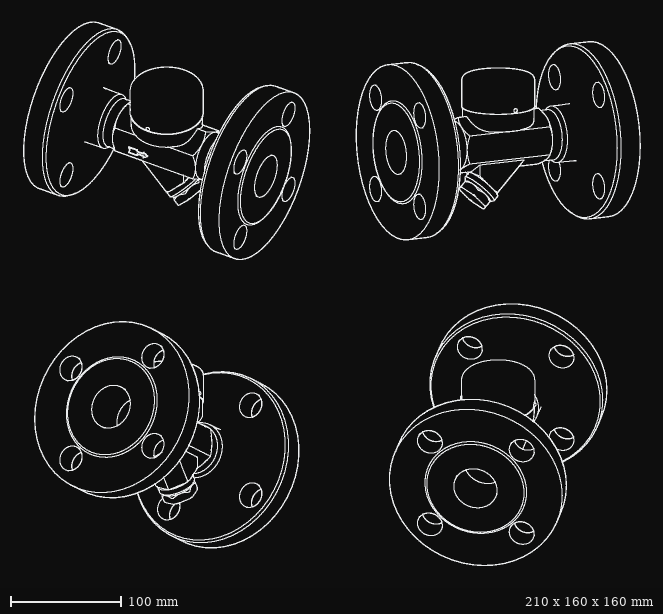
import cadquery as cq
import math

overall_length = 210.0
flange_diameter = 160.0
raised_face_height = 1.6
raised_face_diameter = 90.0
raised_face_base_diameter = 94.0
flange_back_x = 80.6
flange_chamfer_length = 3.0
flange_chamfer_angle = 30.0
bolt_circle_diameter = 120.0
bolt_hole_diameter = 23.0
bolt_hole_count = 4
first_bolt_angle = 45.0
bore_diameter = 40.0

neck_root_fillet = 3.8
neck_root_radius = 26.1
neck_tip_radius = 25.8
neck_tip_x = 57.5
pipe_radius = 46.0 / 2
pipe_start_x = 53.6
pipe_end_x = 48.8
body_end_radius = 22.4

body_across_flats = 45.0
body_half_length = 44.0
body_chamfer_length = 2.8

cover_diameter = 66.5
cover_seat_diameter = 65.0
cover_top_z = 61.5
cover_edge_fillet = 5.5
cover_bottom_z = 31.7
seat_curve_top_z = 19.9
seat_bottom_z = 13.4
seat_bottom_radius = 17.0
nub_radius = 1.75
nub_z = 34.5

branch_angle = 45.0
branch_axis_x = -23.7
branch_half_width = 16.5
keel_depth = 17.0
branch_length = 55.3
saddle_x = 27.7

plug_collar_diameter = 34.0
plug_waist_diameter = 29.0
plug_waist_position = 63.1
plug_end_position = 71.3
plug_across_flats = 29.0
plug_corner_fillet = 2.5
plug_end_chamfer = 0.9

arrow_height = 1.0
arrow_tail_x = -26.5
arrow_notch = 1.4
arrow_step_x = -17.2
arrow_head_x = -10.7
arrow_tip_x = -6.4
arrow_z = -5.5
arrow_half_width = 3.0
arrow_shaft_half_width = 1.3

half_length = overall_length / 2
flange_face_x = half_length - raised_face_height
flange_radius = flange_diameter / 2
neck_root_x = flange_back_x - neck_root_fillet
body_across_corners = body_across_flats / math.cos(math.pi / 6)
body_half_flat = body_across_flats / 2


def make_flange():
    """Flange with raised face and weld neck at the +X end, tapering onto the body."""
    chamfer_depth = flange_chamfer_length * math.tan(math.radians(flange_chamfer_angle))
    root_center_radius = neck_root_radius + neck_root_fillet
    root_reach = neck_root_fillet * math.sqrt(0.5)
    profile = (
        cq.Workplane("XY")
        .moveTo(0, 0)
        .lineTo(half_length, 0)
        .lineTo(half_length, raised_face_diameter / 2)
        .lineTo(flange_face_x, raised_face_base_diameter / 2)
        .lineTo(flange_face_x, flange_radius)
        .lineTo(flange_back_x + flange_chamfer_length, flange_radius)
        .lineTo(flange_back_x, flange_radius - chamfer_depth)
        .lineTo(flange_back_x, root_center_radius)
        .threePointArc(
            (neck_root_x + root_reach, root_center_radius - root_reach),
            (neck_root_x, neck_root_radius),
        )
        .lineTo(neck_tip_x, neck_tip_radius)
        .lineTo(pipe_start_x, pipe_radius)
        .lineTo(pipe_end_x, pipe_radius)
        .lineTo(body_half_length, body_end_radius)
        .lineTo(0, body_end_radius)
        .close()
    )
    flange = profile.revolve(360, (0, 0, 0), (1, 0, 0))
    bolt_holes = (
        cq.Workplane("YZ", origin=(flange_back_x, 0, 0))
        .polarArray(bolt_circle_diameter / 2, first_bolt_angle, 360, bolt_hole_count)
        .circle(bolt_hole_diameter / 2)
        .extrude(half_length - flange_back_x)
    )
    return flange.cut(bolt_holes)


def make_bore():
    """Bore of the +X flange, ending where the weld neck ends."""
    return (
        cq.Workplane("YZ", origin=(neck_tip_x, 0, 0))
        .circle(bore_diameter / 2)
        .extrude(half_length - neck_tip_x)
    )


def make_body():
    """Hexagonal bar with corners up and down, turned to a cone at both ends."""
    hexagon = (
        cq.Workplane("YZ", origin=(-body_half_length, 0, 0))
        .transformed(rotate=(0, 0, 90))
        .polygon(6, body_across_corners)
        .extrude(2 * body_half_length)
    )
    corner_radius = body_across_corners / 2
    cone_start_x = body_half_length - body_chamfer_length
    turned_envelope = (
        cq.Workplane("XY")
        .moveTo(-body_half_length, 0)
        .lineTo(-body_half_length, body_end_radius)
        .lineTo(-cone_start_x, corner_radius)
        .lineTo(cone_start_x, corner_radius)
        .lineTo(body_half_length, body_end_radius)
        .lineTo(body_half_length, 0)
        .close()
        .revolve(360, (0, 0, 0), (1, 0, 0))
    )
    return hexagon.intersect(turned_envelope)


def make_cover():
    """Round cover with its bowl-shaped seat and two small round nubs on its -Y and +Y sides."""
    cover_radius = cover_diameter / 2
    seat_radius = cover_seat_diameter / 2
    fillet_center_x = cover_radius - cover_edge_fillet
    fillet_center_z = cover_top_z - cover_edge_fillet
    fillet_reach = cover_edge_fillet * math.sqrt(0.5)
    cover = (
        cq.Workplane("XZ")
        .moveTo(0, 0)
        .lineTo(0, cover_top_z)
        .lineTo(fillet_center_x, cover_top_z)
        .threePointArc(
            (fillet_center_x + fillet_reach, fillet_center_z + fillet_reach),
            (cover_radius, fillet_center_z),
        )
        .lineTo(cover_radius, cover_bottom_z)
        .lineTo(seat_radius, cover_bottom_z)
        .lineTo(seat_radius, seat_curve_top_z)
        .spline(
            [(seat_bottom_radius, seat_bottom_z)],
            tangents=[(0, -1), (-1, 0)],
            includeCurrent=True,
        )
        .lineTo(seat_bottom_radius, 0)
        .close()
        .revolve(360, (0, 0, 0), (0, 1, 0))
    )
    for side in (-1, 1):
        nub = cq.Workplane("XY").sphere(nub_radius)
        cover = cover.union(nub.translate((0, side * cover_radius, nub_z)))
    return cover


def branch_plane():
    """Plane square to the branch axis: local x is Y, local y points away from the keel."""
    slope = math.radians(branch_angle)
    return cq.Plane(
        origin=(branch_axis_x, 0, 0),
        xDir=(0, 1, 0),
        normal=(math.cos(slope), 0, -math.sin(slope)),
    )


def turned_on_branch(outline):
    """Solid turned about the branch axis from (radius, position) points."""
    plane = branch_plane()
    half_section = cq.Plane(origin=plane.origin, xDir=plane.xDir, normal=-plane.yDir)
    return (
        cq.Workplane(half_section)
        .polyline(outline)
        .close()
        .revolve(360, (0, 0, 0), (0, 1, 0))
    )


def make_branch():
    """Keeled strainer branch with a saddle that fills the space up to the body."""
    shoulder_depth = keel_depth - branch_half_width * math.tan(math.pi / 6)
    keel = (
        cq.Workplane(branch_plane())
        .polyline([
            (-branch_half_width, 0),
            (-branch_half_width, -shoulder_depth),
            (0, -keel_depth),
            (branch_half_width, -shoulder_depth),
            (branch_half_width, 0),
        ])
        .close()
        .extrude(branch_length)
    )
    collar_radius = plug_collar_diameter / 2
    trim_envelope = turned_on_branch([
        (0, 0),
        (collar_radius + branch_length, 0),
        (collar_radius, branch_length),
        (0, branch_length),
    ])
    slope = math.radians(branch_angle)
    axis_end_x = branch_axis_x + branch_length * math.cos(slope)
    axis_end_z = -branch_length * math.sin(slope)
    saddle_end_z = axis_end_z + (saddle_x - axis_end_x) / math.tan(slope)
    saddle = (
        cq.Workplane("XZ", origin=(0, branch_half_width, 0))
        .polyline([
            (branch_axis_x, 0),
            (axis_end_x, axis_end_z),
            (saddle_x, saddle_end_z),
            (saddle_x, 0),
        ])
        .close()
        .extrude(2 * branch_half_width)
    )
    return keel.intersect(trim_envelope).union(saddle)


def make_plug():
    """Strainer plug: round collar narrowing at 45 degrees to a waist, then a hexagon head."""
    collar_radius = plug_collar_diameter / 2
    waist_radius = plug_waist_diameter / 2
    collar_end = plug_waist_position - (collar_radius - waist_radius)
    collar = turned_on_branch([
        (0, 0),
        (waist_radius, 0),
        (waist_radius, branch_length),
        (collar_radius, branch_length),
        (collar_radius, collar_end),
        (waist_radius, plug_waist_position),
        (0, plug_waist_position),
    ])
    across_corners = plug_across_flats / math.cos(math.pi / 6)
    corner_radius = across_corners / 2
    head = (
        cq.Workplane(branch_plane())
        .workplane(offset=plug_waist_position)
        .transformed(rotate=(0, 0, 90))
        .polygon(6, across_corners)
        .extrude(plug_end_position - plug_waist_position)
        .edges(cq.selectors.ParallelDirSelector(branch_plane().zDir))
        .fillet(plug_corner_fillet)
    )
    head_envelope = turned_on_branch([
        (0, plug_waist_position),
        (waist_radius, plug_waist_position),
        (corner_radius, plug_waist_position + corner_radius - waist_radius),
        (corner_radius, plug_end_position - plug_end_chamfer),
        (corner_radius - plug_end_chamfer, plug_end_position),
        (0, plug_end_position),
    ])
    return collar.union(head.intersect(head_envelope))


def make_arrow():
    """Raised flow arrow with a notched tail, pointing towards +X."""
    upper_half = [
        (arrow_tail_x, arrow_half_width),
        (arrow_step_x, arrow_half_width),
        (arrow_step_x, arrow_shaft_half_width),
        (arrow_head_x, arrow_shaft_half_width),
        (arrow_head_x, arrow_half_width),
    ]
    lower_half = [(x, -z) for x, z in reversed(upper_half)]
    notch = (arrow_tail_x + arrow_notch, 0)
    return (
        cq.Workplane("XZ", origin=(0, -body_half_flat, arrow_z))
        .polyline(upper_half + [(arrow_tip_x, 0)] + lower_half + [notch])
        .close()
        .extrude(arrow_height)
    )


flange = make_flange()
bore = make_bore()
result = (
    make_body()
    .union(make_cover())
    .union(make_branch())
    .union(make_plug())
    .union(make_arrow())
    .union(flange)
    .union(flange.mirror("YZ"))
    .cut(bore)
    .cut(bore.mirror("YZ"))
)